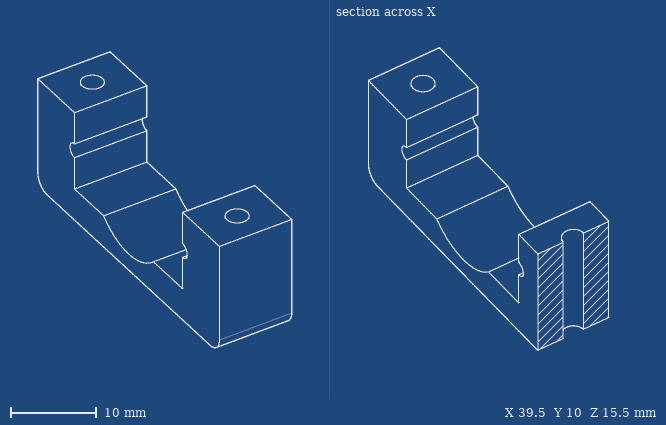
import cadquery as cq

length = 39.5
width = 10.0
height = 15.5

arm_length = 8.0
floor_thickness = 4.5
corner_radius = 2.0

groove_radius = 1.0
hole_diameter = 2.8
saddle_chord = 10.82
saddle_depth = 2.17

opening_length = length - 2 * arm_length
opening_height = height - floor_thickness
groove_height = floor_thickness + opening_height / 2
hole_offset = (length - arm_length) / 2
saddle_radius = ((saddle_chord / 2) ** 2 + saddle_depth**2) / (2 * saddle_depth)
saddle_axis_height = floor_thickness - saddle_depth + saddle_radius


def cross_cylinder(radius, x, z):
    """Cylinder along Y, spanning the full bracket width."""
    return (
        cq.Workplane("XZ", origin=(x, 0, z))
        .circle(radius)
        .extrude(width / 2, both=True)
    )


block = (
    cq.Workplane("XY")
    .box(length, width, height, centered=(True, True, False))
    .edges("|Y and <Z")
    .fillet(corner_radius)
)

opening = (
    cq.Workplane("XY", origin=(0, 0, floor_thickness))
    .box(opening_length, width, opening_height, centered=(True, True, False))
)
bracket = block.cut(opening)

bracket = bracket.cut(cross_cylinder(saddle_radius, 0, saddle_axis_height))

for side in (-1, 1):
    bracket = bracket.cut(cross_cylinder(groove_radius, side * opening_length / 2, groove_height))
    hole = (
        cq.Workplane("XY")
        .center(side * hole_offset, 0)
        .circle(hole_diameter / 2)
        .extrude(height)
    )
    bracket = bracket.cut(hole)

result = bracket